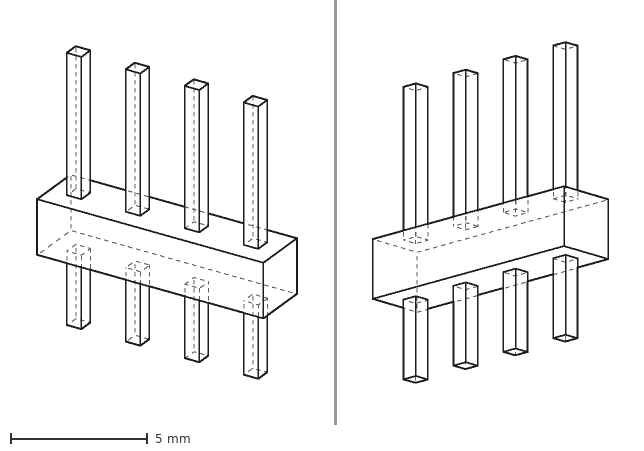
import cadquery as cq

pin_count = 4
pin_pitch = 2.54
pin_width = 0.635
pin_length_above = 5.842
pin_length_below = 3.048

housing_length = 9.754
housing_depth = 2.337
housing_height = 2.286


def make_housing():
    """Plain rectangular block centred on the pin row."""
    return cq.Workplane("XY").box(
        housing_length, housing_depth, housing_height, centered=(True, True, False)
    )


def make_pin(x):
    """Square pin running through the housing at the given X position."""
    pin_length = pin_length_below + housing_height + pin_length_above
    return (
        cq.Workplane("XY")
        .box(pin_width, pin_width, pin_length, centered=(True, True, False))
        .translate((x, 0, -pin_length_below))
    )


result = make_housing()
first_pin_x = -(pin_count - 1) * pin_pitch / 2
for index in range(pin_count):
    result = result.union(make_pin(first_pin_x + index * pin_pitch))